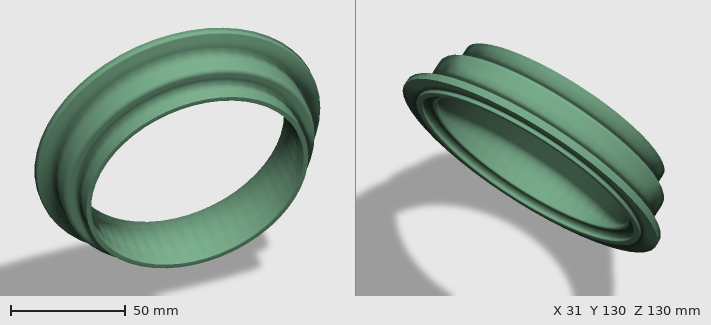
import cadquery as cq
import math

length = 31.0

flange_r = 130 / 2
lip_r = 114.1 / 2
hub_r = 115.0 / 2
neck_r = 101.7 / 2
bore_r = 97.4 / 2

lip_length = 2.0
lip_edge_fillet = 0.4
lip_foot_fillet = 0.6

rim_width = 3.2
bevel_angle = math.radians(19)
rim_fillet = 0.8
bevel_foot_fillet = 2.0

shoulder_x = 21.0
shoulder_fillet = 2.0
neck_foot_fillet = 1.5

mouth_r = 54.0
mouth_fillet = 0.5
groove_bottom = (4.2, 52.1)
ridge_x = 3.1
ridge_bore_fillet = 0.8
ridge_groove_fillet = 1.2
groove_inner_r = 50.2

rim_corner_x = lip_length + rim_width
foot_corner_x = rim_corner_x + (flange_r - hub_r) * math.tan(bevel_angle)


def bevel_rounding(corner_x, corner_r, fillet, side):
    """Tangent points of a corner fillet: on the cylinder, midway on the arc, on the bevel.

    side is 1 where the metal lies inside the corner (rim) and -1 where it fills it (foot).
    """
    turn = math.pi / 2 - bevel_angle
    setback = fillet * math.tan(turn / 2)
    center_x = corner_x - side * setback
    center_r = corner_r - side * fillet
    on_cylinder = (center_x, corner_r)
    midway = (
        center_x + side * fillet * math.sin(turn / 2),
        center_r + side * fillet * math.cos(turn / 2),
    )
    on_bevel = (
        center_x + side * fillet * math.sin(turn),
        center_r + side * fillet * math.cos(turn),
    )
    return on_cylinder, midway, on_bevel


rim_end, rim_mid, bevel_start = bevel_rounding(rim_corner_x, flange_r, rim_fillet, 1)
hub_start, foot_mid, bevel_end = bevel_rounding(foot_corner_x, hub_r, bevel_foot_fillet, -1)

crest_r = bore_r + ridge_bore_fillet
flank_rise = groove_inner_r - crest_r
flank_run = ridge_groove_fillet - math.sqrt(ridge_groove_fillet**2 - flank_rise**2)

profile = (
    cq.Workplane("XY")
    .moveTo(0, mouth_r + mouth_fillet)
    .lineTo(0, lip_r - lip_edge_fillet)
    .radiusArc((lip_edge_fillet, lip_r), lip_edge_fillet)
    .lineTo(lip_length - lip_foot_fillet, lip_r)
    .radiusArc((lip_length, lip_r + lip_foot_fillet), -lip_foot_fillet)
    .lineTo(lip_length, flange_r)
    .lineTo(*rim_end)
    .threePointArc(rim_mid, bevel_start)
    .lineTo(*bevel_end)
    .threePointArc(foot_mid, hub_start)
    .lineTo(shoulder_x - shoulder_fillet, hub_r)
    .radiusArc((shoulder_x, hub_r - shoulder_fillet), shoulder_fillet)
    .lineTo(shoulder_x, neck_r + neck_foot_fillet)
    .radiusArc((shoulder_x + neck_foot_fillet, neck_r), -neck_foot_fillet)
    .lineTo(length, neck_r)
    .lineTo(length, bore_r)
    .lineTo(ridge_x + ridge_bore_fillet, bore_r)
    .radiusArc((ridge_x, crest_r), ridge_bore_fillet)
    .radiusArc((ridge_x + flank_run, groove_inner_r), ridge_groove_fillet)
    .threePointArc(groove_bottom, (mouth_fillet, mouth_r))
    .radiusArc((0, mouth_r + mouth_fillet), mouth_fillet)
    .close()
)

result = profile.revolve(360, (0, 0, 0), (1, 0, 0))